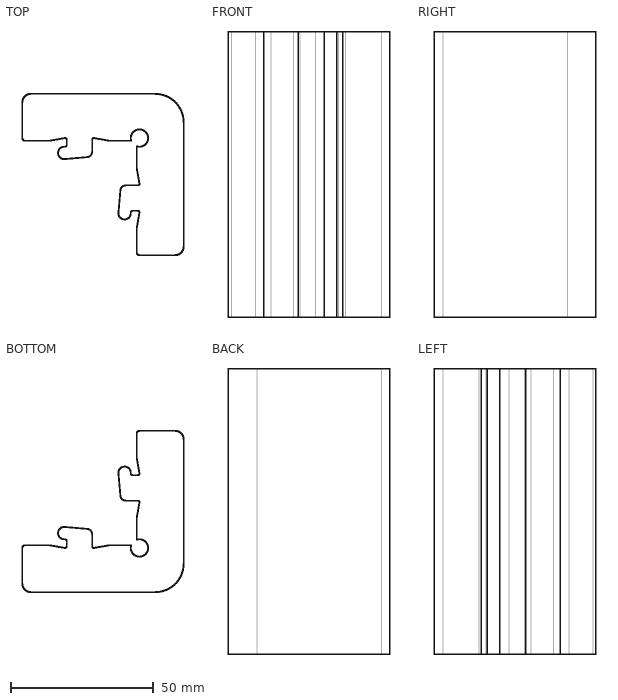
import cadquery as cq
import math

LENGTH = 100.0
LEG_LENGTH = 56.5
LEG_THICKNESS = 16.5

OUTER_CORNER_RADIUS = 10.0
LEG_END_OUTER_RADIUS = 3.0
LEG_END_INNER_RADIUS = 1.0

RELIEF_RADIUS = 3.0
RELIEF_INSET = 1.0
RELIEF_CENTER = LEG_THICKNESS - RELIEF_INSET

STEM_CENTER = 36.5
STEM_WIDTH = 9.0
RECESS_WIDTH = 21.0
RECESS_ANGLE = math.radians(10)
RECESS_ROOT_RADIUS = 0.5

TIP_RADIUS = 2.2
TIP_ALONG = 41.8
TIP_DEPTH = 20.7
HOOK_OUTER_ANGLE = math.radians(5)
HOOK_BACK_RADIUS = 2.0
HOOK_THROAT_RADIUS = 0.5

STEM_BACK = STEM_CENTER - STEM_WIDTH / 2
STEM_FRONT = STEM_CENTER + STEM_WIDTH / 2
RECESS_START = STEM_CENTER - RECESS_WIDTH / 2
RECESS_END = STEM_CENTER + RECESS_WIDTH / 2
RECESS_DROP = (RECESS_WIDTH - STEM_WIDTH) / 2 * math.tan(RECESS_ANGLE)
RECESS_DEPTH = LEG_THICKNESS - RECESS_DROP

TIP_OUTER = (
    TIP_ALONG - TIP_RADIUS * math.sin(HOOK_OUTER_ANGLE),
    TIP_DEPTH + TIP_RADIUS * math.cos(HOOK_OUTER_ANGLE),
)
TIP_END = (TIP_ALONG + TIP_RADIUS, TIP_DEPTH)

HOOK_BACK_DEPTH = TIP_OUTER[1] - (TIP_OUTER[0] - STEM_BACK) * math.tan(HOOK_OUTER_ANGLE)
HOOK_THROAT_DEPTH = TIP_DEPTH - math.sqrt(TIP_RADIUS**2 - (TIP_ALONG - STEM_FRONT) ** 2)
BACK_ROOT = (STEM_BACK, RECESS_DEPTH)
FRONT_ROOT = (STEM_FRONT, RECESS_DEPTH)
HOOK_BACK = (STEM_BACK, HOOK_BACK_DEPTH)
HOOK_THROAT = (STEM_FRONT, HOOK_THROAT_DEPTH)
LEG_END_OUTER = (LEG_LENGTH, 0)
LEG_END_INNER = (LEG_LENGTH, LEG_THICKNESS)


def to_xy(point):
    """Place an (along, depth) point on the leg that runs toward -X."""
    along, depth = point
    return (-along, -depth)


def round_corner(body, point, radius):
    """Fillet the lengthwise edge that passes through a profile point."""
    x, y = to_xy(point)
    return body.edges("|Z").edges(cq.selectors.NearestToPointSelector((x, y, 0))).fillet(radius)


def make_leg():
    """One leg with its sloped recess and hook."""
    leg = (
        cq.Workplane("XY")
        .moveTo(0, 0)
        .lineTo(*to_xy((0, LEG_THICKNESS)))
        .lineTo(*to_xy((RECESS_START, LEG_THICKNESS)))
        .lineTo(*to_xy(BACK_ROOT))
        .lineTo(*to_xy(HOOK_BACK))
        .lineTo(*to_xy(TIP_OUTER))
        .threePointArc(to_xy(TIP_END), to_xy(HOOK_THROAT))
        .lineTo(*to_xy(FRONT_ROOT))
        .lineTo(*to_xy((RECESS_END, LEG_THICKNESS)))
        .lineTo(*to_xy(LEG_END_INNER))
        .lineTo(*to_xy(LEG_END_OUTER))
        .close()
        .extrude(LENGTH / 2, both=True)
    )
    rounded_corners = [
        (BACK_ROOT, RECESS_ROOT_RADIUS),
        (FRONT_ROOT, RECESS_ROOT_RADIUS),
        (HOOK_THROAT, HOOK_THROAT_RADIUS),
        (HOOK_BACK, HOOK_BACK_RADIUS),
        (LEG_END_INNER, LEG_END_INNER_RADIUS),
        (LEG_END_OUTER, LEG_END_OUTER_RADIUS),
    ]
    for point, radius in rounded_corners:
        leg = round_corner(leg, point, radius)
    return leg


def make_relief_hole():
    """Full-length cylinder that opens the inner corner."""
    return (
        cq.Workplane("XY")
        .center(*to_xy((RELIEF_CENTER, RELIEF_CENTER)))
        .circle(RELIEF_RADIUS)
        .extrude(LENGTH / 2, both=True)
    )


first_leg = make_leg()
second_leg = first_leg.rotate((0, 0, 0), (1, 1, 0), 180)
corner = first_leg.union(second_leg).clean()
corner = round_corner(corner, (0, 0), OUTER_CORNER_RADIUS)
result = corner.cut(make_relief_hole()).solids()